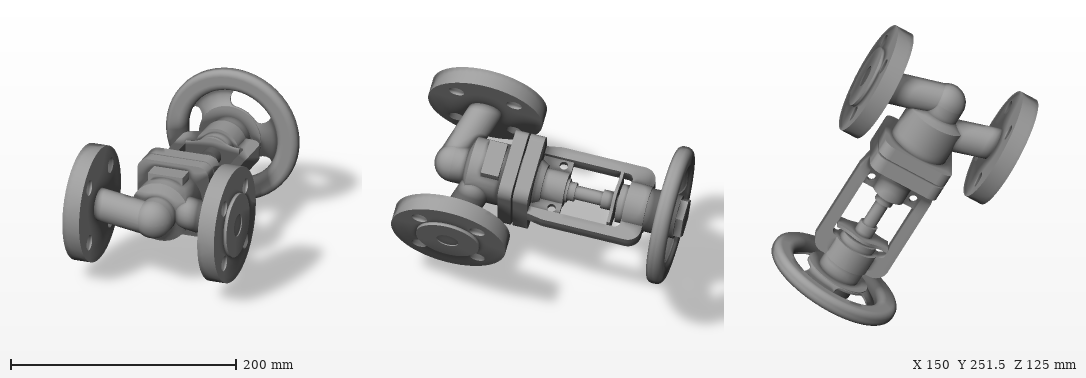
import cadquery as cq
import math


face_to_face = 150.0
flange_radius = 52.5
flange_thickness = 15.8
raised_face_radius = 29.0
raised_face_height = 3.0
bore_radius = 10.0
bore_depth = 1.0
bolt_circle_radius = 37.5
bolt_hole_radius = 7.0
flange_back_x = face_to_face / 2 - raised_face_height - flange_thickness

pipe_radius = 14.5
inlet_drop = 15.8
outlet_rise = 17.0
bottom_radius = 17.0
bottom_center_y = -14.0

body_radius = 27.7
body_cone_low_y = -2.3
body_cone_high_y = 2.5
nameplate_width = 33.0
nameplate_low_y = 15.0
nameplate_high_y = 31.2
nameplate_height_z = 30.2

square_side = 68.0
square_corner_radius = 10.3
body_square_low_y = 35.0
body_square_high_y = 47.0
bonnet_square_low_y = 48.8
bonnet_square_high_y = 62.4
gasket_radius = 26.0

neck_foot_radius = 21.1
neck_foot_top_y = 64.0
neck_shoulder_radius = 18.0
neck_shoulder_y = 69.5
neck_radius = 15.3
neck_top_y = 89.5
gland_rim_radius = 10.8
gland_rim_top_y = 91.8
gland_radius = 8.5
gland_top_y = 98.0
stem_radius = 6.3
collar_low_y = 122.7

plate_low_y = 133.0
plate_high_y = 135.8
plate_round_radius = 17.0
plate_half_length = 25.5
plate_end_half_width = 10.0
plate_blend_end_x = 23.6

boss_nut_radius = 17.4
boss_nut_low_y = 138.0
boss_radius = 21.1
boss_low_y = 145.0
yoke_top_y = 164.5
yoke_thickness = 13.8
yoke_half_width = 36.5
yoke_foot_half_width = square_side / 2
yoke_taper_y = 76.5
yoke_outer_corner_radius = 12.0
window_half_width = 26.7
window_top_y = 144.5
window_corner_radius = 5.3
yoke_web_thickness = 5.0
yoke_web_hole_x = 21.5
yoke_web_hole_y = 81.5
yoke_web_hole_radius = 3.8

hub_radius = 19.5
wheel_bottom_y = 177.0
wheel_disc_radius = 29.5
wheel_disc_edge = 1.0
rim_outer_radius = 62.5
rim_inner_radius = 42.8
rim_low_y = 177.8
rim_high_y = 192.5
rim_outer_low_fillet = 5.3
rim_inner_low_fillet = 7.0
rim_high_fillet = 6.5
wheel_web_outer_radius = 47.3
wheel_web_rise = 13.3
wheel_web_wall = 1.3
opening_count = 3
opening_inner_radius = 29.7
opening_outer_radius = 43.3
opening_half_angle = 22
first_opening_angle = 60

nut_corner_radius = 18.9
nut_top_y = 199.0


def cylinder_y(radius, low_y, high_y):
    """Cylinder around the stem axis between two Y levels."""
    return cq.Workplane("XZ", origin=(0, low_y, 0)).circle(radius).extrude(low_y - high_y)


def square_flange(low_y, high_y):
    """Square bonnet flange with rounded corners."""
    block = cq.Workplane("XZ", origin=(0, low_y, 0)).rect(square_side, square_side).extrude(low_y - high_y)
    return block.edges("|Y").fillet(square_corner_radius)


def revolve_y(profile):
    """Turn a closed profile in the XY plane around the stem axis."""
    return profile.revolve(360, (0, 0, 0), (0, 1, 0))


def make_flange(side):
    """Pipe flange on the side given by the sign of X."""
    back = cq.Workplane("YZ", origin=(side * flange_back_x, 0, 0))
    flange = back.circle(flange_radius).extrude(side * flange_thickness)
    holes = back.polarArray(bolt_circle_radius, 45, 360, 4).circle(bolt_hole_radius)
    flange = flange.cut(holes.extrude(side * flange_thickness))
    raised = back.circle(raised_face_radius).extrude(side * (flange_thickness + raised_face_height))
    bore = cq.Workplane("YZ", origin=(side * face_to_face / 2, 0, 0)).circle(bore_radius)
    return flange.union(raised).cut(bore.extrude(-side * bore_depth))


def make_pipe(side, axis_y):
    """Slanted pipe from the stem axis at height axis_y to the back of a flange."""
    start = cq.Vector(0, axis_y, 0)
    run = cq.Vector(side * flange_back_x, 0, 0) - start
    overrun = flange_thickness / 2
    pipe = cq.Solid.makeCylinder(pipe_radius, run.Length + overrun, start, run.normalized())
    return cq.Workplane(pipe)


def make_body():
    """Lower body: round bottom, cone, cylinder, nameplate and square flange."""
    bottom_low_y = bottom_center_y - bottom_radius
    diagonal = bottom_radius * math.sqrt(0.5)
    profile = (
        cq.Workplane("XY")
        .moveTo(0, bottom_low_y)
        .threePointArc((diagonal, bottom_center_y - diagonal), (bottom_radius, bottom_center_y))
        .lineTo(bottom_radius, body_cone_low_y)
        .lineTo(body_radius, body_cone_high_y)
        .lineTo(body_radius, body_square_low_y)
        .lineTo(0, body_square_low_y)
        .close()
    )
    plate_length = nameplate_high_y - nameplate_low_y
    nameplate = (
        cq.Workplane("XY")
        .center(0, nameplate_low_y + plate_length / 2)
        .rect(nameplate_width, plate_length)
        .extrude(nameplate_height_z)
    )
    return revolve_y(profile).union(nameplate).union(square_flange(body_square_low_y, body_square_high_y))


def make_bonnet():
    """Gasket, upper square flange and the turned neck on it."""
    neck = (
        cq.Workplane("XY")
        .moveTo(0, bonnet_square_high_y)
        .lineTo(neck_foot_radius, bonnet_square_high_y)
        .lineTo(neck_foot_radius, neck_foot_top_y)
        .lineTo(neck_shoulder_radius, neck_shoulder_y)
        .lineTo(neck_radius, neck_shoulder_y)
        .lineTo(neck_radius, neck_top_y)
        .lineTo(0, neck_top_y)
        .close()
    )
    gasket = cylinder_y(gasket_radius, body_square_high_y, bonnet_square_low_y)
    return gasket.union(square_flange(bonnet_square_low_y, bonnet_square_high_y)).union(revolve_y(neck))


def make_stem():
    """Stem with the gland parts below and the collar above."""
    stem = cylinder_y(stem_radius, neck_top_y, boss_low_y)
    stem = stem.union(cylinder_y(gland_rim_radius, neck_top_y, gland_rim_top_y))
    stem = stem.union(cylinder_y(gland_radius, neck_top_y, gland_top_y))
    return stem.union(cylinder_y(gland_radius, collar_low_y, plate_low_y))


def make_guide_plate():
    """Flat plate across the stem: a round middle blended into two straight wings."""
    blend_radius = (plate_blend_end_x**2 + plate_end_half_width**2 - plate_round_radius**2) / (
        2 * (plate_round_radius - plate_end_half_width)
    )
    blend_center_z = plate_end_half_width + blend_radius
    blend_angle = math.atan2(plate_blend_end_x, blend_center_z)
    x_round = plate_round_radius * math.sin(blend_angle)
    z_round = plate_round_radius * math.cos(blend_angle)
    x_blend = plate_blend_end_x - blend_radius * math.sin(blend_angle / 2)
    z_blend = blend_center_z - blend_radius * math.cos(blend_angle / 2)
    quarter = (
        cq.Workplane("XZ", origin=(0, plate_low_y, 0))
        .lineTo(plate_half_length, 0)
        .lineTo(plate_half_length, plate_end_half_width)
        .lineTo(plate_blend_end_x, plate_end_half_width)
        .threePointArc((x_blend, z_blend), (x_round, z_round))
        .radiusArc((0, plate_round_radius), -plate_round_radius)
        .close()
        .extrude(plate_low_y - plate_high_y)
    )
    half = quarter.union(quarter.mirror("XY"))
    return half.union(half.mirror("YZ"))


def make_yoke():
    """Flat yoke with a window, a drilled web at its foot and the spindle boss."""
    frame = (
        cq.Workplane("XY", origin=(0, 0, -yoke_thickness / 2))
        .moveTo(-yoke_foot_half_width, bonnet_square_high_y)
        .lineTo(-yoke_half_width, yoke_taper_y)
        .lineTo(-yoke_half_width, yoke_top_y)
        .lineTo(yoke_half_width, yoke_top_y)
        .lineTo(yoke_half_width, yoke_taper_y)
        .lineTo(yoke_foot_half_width, bonnet_square_high_y)
        .close()
        .extrude(yoke_thickness)
        .edges("|Z and >Y")
        .fillet(yoke_outer_corner_radius)
    )
    window_length = window_top_y - bonnet_square_high_y
    window = (
        cq.Workplane("XY", origin=(0, bonnet_square_high_y + window_length / 2, 0))
        .box(2 * window_half_width, window_length, yoke_thickness)
        .edges("|Z and >Y")
        .fillet(window_corner_radius)
    )
    web_length = neck_top_y - bonnet_square_high_y
    web = cq.Workplane("XY", origin=(0, bonnet_square_high_y + web_length / 2, 0)).box(
        2 * window_half_width, web_length, yoke_web_thickness
    )
    holes = (
        cq.Workplane("XY", origin=(0, 0, -yoke_web_thickness / 2))
        .pushPoints([(-yoke_web_hole_x, yoke_web_hole_y), (yoke_web_hole_x, yoke_web_hole_y)])
        .circle(yoke_web_hole_radius)
        .extrude(yoke_web_thickness)
    )
    boss = cylinder_y(boss_radius, boss_low_y, yoke_top_y)
    boss_nut = cylinder_y(boss_nut_radius, boss_nut_low_y, boss_low_y)
    return frame.cut(window).union(web.cut(holes)).union(boss).union(boss_nut)


def make_rim():
    """Handwheel rim: a ring around the stem axis with a rounded section."""
    rim = cylinder_y(rim_outer_radius, rim_low_y, rim_high_y)
    rim = rim.cut(cylinder_y(rim_inner_radius, rim_low_y, rim_high_y))
    rim = rim.edges(">Y").fillet(rim_high_fillet)
    outer_low = cq.selectors.RadiusNthSelector(-1)
    inner_low = cq.selectors.RadiusNthSelector(0)
    rim = rim.faces("<Y").edges(outer_low).fillet(rim_outer_low_fillet)
    return rim.faces("<Y").edges(inner_low).fillet(rim_inner_low_fillet)


def make_opening(angle):
    """Curved slot through the handwheel web, centered on an angle in the XZ plane."""
    depth = rim_high_y - wheel_bottom_y

    def polar(radius, turn):
        direction = math.radians(angle + turn)
        return (radius * math.cos(direction), radius * math.sin(direction))

    inner = opening_inner_radius
    outer = opening_outer_radius
    middle = (inner + outer) / 2
    half = opening_half_angle
    end_turn = half + math.degrees((outer - inner) / 2 / middle)
    return (
        cq.Workplane("XZ", origin=(0, wheel_bottom_y, 0))
        .moveTo(*polar(inner, -half))
        .threePointArc(polar(inner, 0), polar(inner, half))
        .threePointArc(polar(middle, end_turn), polar(outer, half))
        .threePointArc(polar(outer, 0), polar(outer, -half))
        .threePointArc(polar(middle, -end_turn), polar(inner, -half))
        .close()
        .extrude(-depth)
    )


def make_handwheel():
    """Handwheel: hub, dished web with curved openings, rim and hexagonal nut."""
    disc_top_y = wheel_bottom_y + wheel_disc_edge
    web = (
        cq.Workplane("XY")
        .moveTo(0, wheel_bottom_y)
        .lineTo(wheel_disc_radius, wheel_bottom_y)
        .lineTo(wheel_disc_radius, disc_top_y)
        .lineTo(wheel_web_outer_radius, disc_top_y + wheel_web_rise)
        .lineTo(wheel_web_outer_radius - wheel_web_wall, disc_top_y + wheel_web_rise)
        .lineTo(wheel_disc_radius - wheel_web_wall, disc_top_y + wheel_web_wall)
        .lineTo(0, disc_top_y + wheel_web_wall)
        .close()
    )
    wheel = revolve_y(web)
    for index in range(opening_count):
        wheel = wheel.cut(make_opening(first_opening_angle + index * 360 / opening_count))
    hub = cylinder_y(hub_radius, yoke_top_y, rim_high_y)
    nut = cq.Workplane("XZ", origin=(0, rim_high_y, 0)).polygon(6, 2 * nut_corner_radius)
    return wheel.union(make_rim()).union(hub).union(nut.extrude(rim_high_y - nut_top_y))


result = make_body()
for side, axis_y in ((-1, -inlet_drop), (1, outlet_rise)):
    result = result.union(make_pipe(side, axis_y)).union(make_flange(side))
for section in (make_bonnet(), make_stem(), make_guide_plate(), make_yoke(), make_handwheel()):
    result = result.union(section)